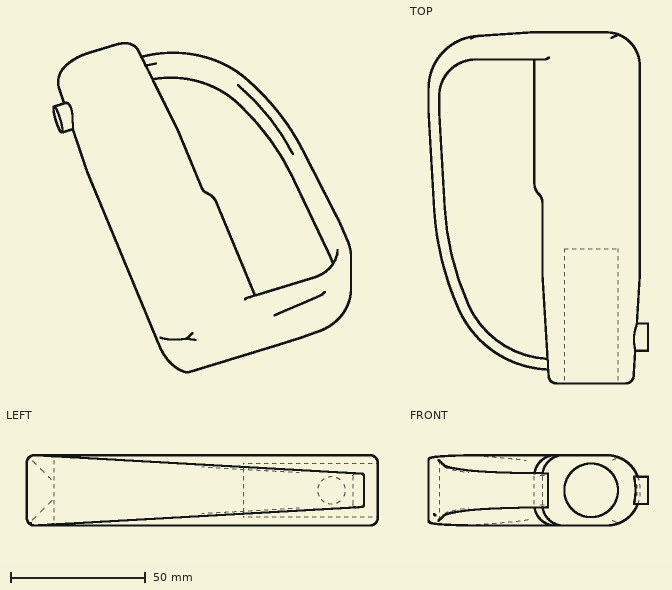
import cadquery as cq
import math

length = 130.6
height = 26.3

half_width = 18.2
end_half_width = 15.7
taper_length = 40.5
wide_left = -21.2
step_start = 67.3
step_hollow_radius = 4.5
step_bulge_radius = 5.6
left_rounding = 8.0
right_rounding = 12.4
rear_corner_radius = 12.5
end_rounding = 3.0

bore_diameter = 20.0
bore_depth = 50.0
button_diameter = 10.2
button_root = 11.8
button_tip = 21.2
button_place = 17.2

guard_left = -60.5
guard_thickness = 4.0
guard_edge_rounding = 0.9
guard_front_height = 11.8
guard_flush = 128.6
outer_corner_radius = 19.6
outer_corner_start = 109.7
inner_corner_radius = 13.5
arm_inner = 120.4
arm_slope = math.radians(3.8)
straight_end = 100.7
lean = math.radians(3.3)
lean_end = 65.2
wide_arc_radius = 107.1
wide_arc_end = math.radians(24.1)
tight_arc_radius = 38.0
arm_root = -11.8


def body_side_step():
    """Meeting and end points of the two tangent arcs that widen the left side."""
    hollow_x = -half_width - step_hollow_radius
    bulge_x = wide_left + step_bulge_radius
    reach = step_hollow_radius + step_bulge_radius
    rise = math.sqrt(reach**2 - (bulge_x - hollow_x) ** 2)
    share = step_hollow_radius / reach
    meeting = (hollow_x + share * (bulge_x - hollow_x), step_start + share * rise)
    return meeting, (wide_left, step_start + rise)


def make_body():
    meeting, step_end = body_side_step()
    body = (
        cq.Workplane("XY", origin=(0, 0, -height / 2))
        .moveTo(end_half_width, 0)
        .lineTo(half_width, taper_length)
        .lineTo(half_width, length)
        .lineTo(wide_left, length)
        .lineTo(*step_end)
        .tangentArcPoint(meeting, relative=False)
        .tangentArcPoint((-half_width, step_start), relative=False)
        .lineTo(-half_width, taper_length)
        .lineTo(-end_half_width, 0)
        .close()
        .extrude(height)
    )
    body = body.edges(long_edges(end_half_width, half_width)).fillet(right_rounding)
    body = body.edges(long_edges(wide_left, -end_half_width)).fillet(left_rounding)
    return body.faces("<Y").edges().fillet(end_rounding)


def long_edges(x_min, x_max):
    """Select the top and bottom edges along one side, leaving out the two end faces."""
    margin = 1.3
    x_range = (x_min - margin, x_max + margin)
    y_range = (margin, length - margin)
    z_range = (height / 2 - margin, height / 2 + margin)
    top = cq.selectors.BoxSelector(*zip(x_range, y_range, z_range))
    bottom = cq.selectors.BoxSelector(*zip(x_range, y_range, (-z_range[1], -z_range[0])))
    return top + bottom


def on_circle(center, radius, angle):
    """Point on a circle; the angle is counted from -X, turning toward -Y."""
    return center[0] - radius * math.cos(angle), center[1] - radius * math.sin(angle)


def guard_side(inset):
    """Corner points of the guard's long side, moved inward by the inset, from rear to front."""
    bend = (guard_left, straight_end)
    lean_foot = (guard_left + (straight_end - lean_end) * math.tan(lean), lean_end)
    wide_center = on_circle(lean_foot, -wide_arc_radius, lean)
    wide_foot = on_circle(wide_center, wide_arc_radius, wide_arc_end)
    tight_center = on_circle(wide_foot, -tight_arc_radius, wide_arc_end)
    wide = wide_arc_radius - inset
    tight = tight_arc_radius - inset
    front = math.pi / 2
    return {
        "bend": (bend[0] + inset, bend[1]),
        "wide start": on_circle(wide_center, wide, lean),
        "wide middle": on_circle(wide_center, wide, (lean + wide_arc_end) / 2),
        "tight start": on_circle(wide_center, wide, wide_arc_end),
        "tight middle": on_circle(tight_center, tight, (wide_arc_end + front) / 2),
        "tight end": on_circle(tight_center, tight, front),
    }


def make_guard():
    outer = guard_side(0)
    inner = guard_side(guard_thickness)
    outer_center = (guard_left + outer_corner_radius, outer_corner_start)
    outer_corner_end = on_circle(outer_center, outer_corner_radius, -math.pi / 2 + arm_slope)
    outer_corner_middle = on_circle(outer_center, outer_corner_radius, -math.pi / 4 + arm_slope / 2)
    arm_top = outer_corner_end[1] + (arm_root - outer_corner_end[0]) * math.tan(arm_slope)
    inner_center = (inner["bend"][0] + inner_corner_radius, arm_inner - inner_corner_radius)
    inner_corner_middle = on_circle(inner_center, inner_corner_radius, -math.pi / 4)
    guard = (
        cq.Workplane("XY", origin=(0, 0, -height))
        .moveTo(arm_root, arm_top)
        .lineTo(*outer_corner_end)
        .threePointArc(outer_corner_middle, (guard_left, outer_corner_start))
        .lineTo(*outer["bend"])
        .lineTo(*outer["wide start"])
        .threePointArc(outer["wide middle"], outer["tight start"])
        .threePointArc(outer["tight middle"], outer["tight end"])
        .lineTo(*inner["tight end"])
        .threePointArc(inner["tight middle"], inner["tight start"])
        .threePointArc(inner["wide middle"], inner["wide start"])
        .lineTo(*inner["bend"])
        .lineTo(inner["bend"][0], inner_center[1])
        .threePointArc(inner_corner_middle, (inner_center[0], arm_inner))
        .lineTo(arm_root, arm_inner)
        .close()
        .extrude(2 * height)
    )
    growth = (height - guard_front_height) / 2 / guard_flush
    wedge_end = 2 * length
    front_half = guard_front_height / 2
    wedge_end_half = front_half + growth * wedge_end
    wedge = (
        cq.Workplane("YZ", origin=(guard_left, 0, 0))
        .moveTo(0, -front_half)
        .lineTo(wedge_end, -wedge_end_half)
        .lineTo(wedge_end, wedge_end_half)
        .lineTo(0, front_half)
        .close()
        .extrude(arm_root - guard_left)
    )
    guard = guard.intersect(wedge)
    return guard.faces(">Z or <Z").edges().fillet(guard_edge_rounding)


def make_envelope():
    """Block that levels the guard with the body, rounds the rear edges and the rear right corner."""
    block = (
        cq.Workplane("XY")
        .box(half_width - guard_left, length, height)
        .translate(((half_width + guard_left) / 2, length / 2, 0))
    )
    corner = (
        cq.Workplane("XY", origin=(0, 0, -height / 2))
        .moveTo(half_width - rear_corner_radius, length)
        .radiusArc((half_width, length - rear_corner_radius), rear_corner_radius)
        .lineTo(half_width, length)
        .close()
        .extrude(height)
    )
    return block.faces(">Y").edges("|X").fillet(end_rounding).cut(corner)


def make_bore():
    return cq.Workplane("XZ").circle(bore_diameter / 2).extrude(-bore_depth)


def make_button():
    """Round button standing out of the right side, rooted inside the wall beside the bore."""
    return (
        cq.Workplane("YZ", origin=(button_root, button_place, 0))
        .circle(button_diameter / 2)
        .extrude(button_tip - button_root)
    )


handle = make_body().union(make_guard()).intersect(make_envelope())
result = handle.cut(make_bore()).union(make_button())